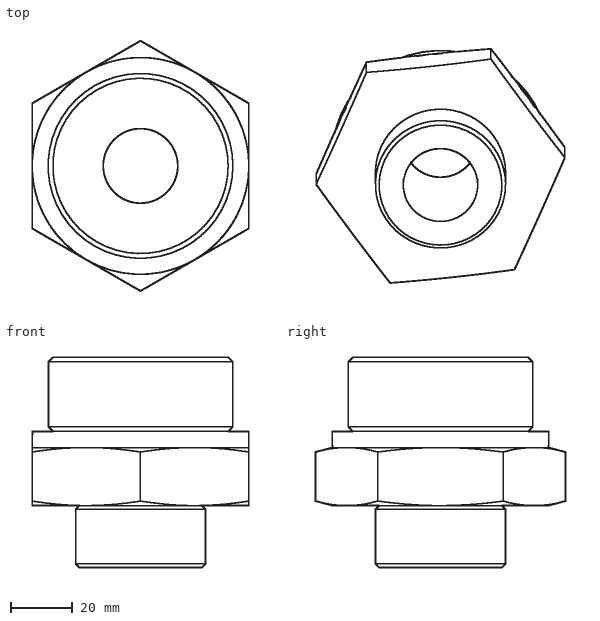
import cadquery as cq
import math

across_corners = 80.8
across_flats = across_corners * math.cos(math.radians(30))
corner_drop = 1.45

lower_diameter = 42.0
upper_diameter = 59.65
bore_diameter = 24.0

hex_bottom = 20.05
hex_top = 38.8
collar_top = 44.0
total_height = 68.0

lower_chamfer = 1.2
upper_chamfer = 1.5


def chamfered_cylinder(diameter, bottom, top, chamfer):
    """Vertical cylinder with both end edges chamfered."""
    return (
        cq.Workplane("XY", origin=(0, 0, bottom))
        .circle(diameter / 2)
        .extrude(top - bottom)
        .edges()
        .chamfer(chamfer)
    )


def hexagon():
    """Hexagon with corners on the Y axis, trimmed by a cone at each end."""
    flat_radius = across_flats / 2
    corner_radius = across_corners / 2
    prism = (
        cq.Workplane("XY", origin=(0, 0, hex_bottom))
        .polygon(6, across_corners)
        .extrude(hex_top - hex_bottom)
        .rotate((0, 0, 0), (0, 0, 1), 90)
    )
    envelope = (
        cq.Workplane("XZ")
        .moveTo(0, hex_bottom)
        .lineTo(flat_radius, hex_bottom)
        .lineTo(corner_radius, hex_bottom + corner_drop)
        .lineTo(corner_radius, hex_top - corner_drop)
        .lineTo(flat_radius, hex_top)
        .lineTo(0, hex_top)
        .close()
        .revolve(360, (0, 0, 0), (0, 1, 0))
    )
    return prism.intersect(envelope)


collar = (
    cq.Workplane("XY", origin=(0, 0, hex_top))
    .circle(across_flats / 2)
    .extrude(collar_top - hex_top)
)

lower_end = chamfered_cylinder(lower_diameter, 0, hex_bottom, lower_chamfer)
upper_end = chamfered_cylinder(upper_diameter, collar_top, total_height, upper_chamfer)

bore = cq.Workplane("XY").circle(bore_diameter / 2).extrude(total_height)

result = hexagon().union(collar).union(lower_end).union(upper_end).cut(bore)